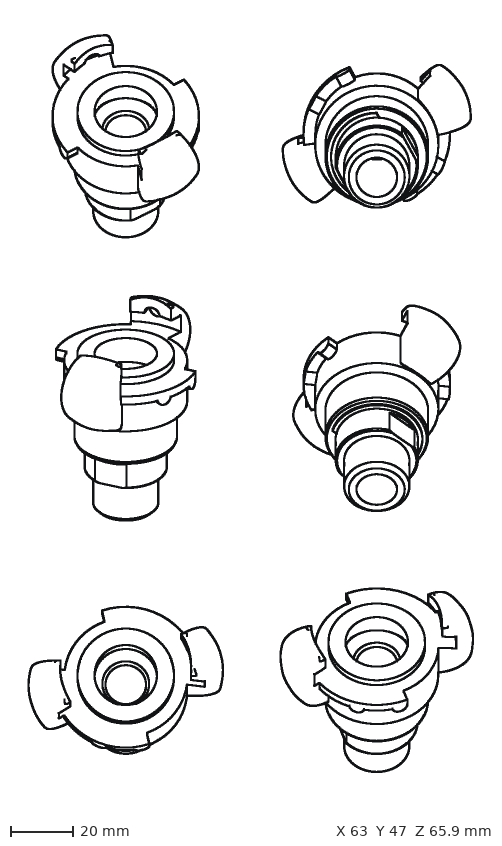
import cadquery as cq
import math

TAIL_CHAMFER = 1.5
SHOULDER_BOTTOM = 14.1
SHOULDER_CHAMFER = 0.5
FLAT_TOP = 23.0
GROOVE_BOTTOM = 24.3
SLEEVE_BOTTOM = 24.9
SLEEVE_CHAMFER_HEIGHT = 1.0
CONE_BOTTOM = 38.2
HEAD_BOTTOM = 39.0
HEAD_TOP = 54.0
RIM_TOP = 56.5
OVERALL_HEIGHT = 65.9

TAIL_RADIUS = 20.95 / 2
SHOULDER_RADIUS = 26.4 / 2
GROOVE_RADIUS = 23.0 / 2
SLEEVE_RADIUS = 33.0 / 2
SLEEVE_CHAMFER_WIDTH = 0.5
CONE_BOTTOM_RADIUS = 17.0
HEAD_RADIUS = 39.5 / 2
RIM_RADIUS = 31.0 / 2

ACROSS_FLATS = 24.0
RING_RADIUS = 14.65
RING_END_X = 6.8

BORE_RADIUS = 13.0 / 2
BORE_CHAMFER = 1.0
CAVITY_RADIUS = 12.5
CAVITY_FLOOR = RIM_TOP - 10.2
MOUTH_RADIUS = 20.0 / 2
MOUTH_DEPTH = 3.1

LUG_RADIUS = 47.0 / 2
LUG_THICKNESS = 3.0
DETENT_RADIUS = 2.5
DETENT_DEPTH = 2.0
DETENT_SPACING = 34.5

CLAW_REACH = 62.97 / 2
CLAW_HALF_ANGLE = 20.0
CLAW_RADIUS = 13.4
CLAW_CROWN_RADIUS = 20.0
CLAW_EDGE_FILLET = 1.0
CLAW_ROOT_X = 16.0
LIP_CROWN_RADIUS = 17.4
LIP_RADIUS = 21.0
LIP_BOTTOM = 60.0
SLOT_RADIUS = 25.5
NOTCH_RADIUS = 2.75
NOTCH_DEPTH = 2.4
CLAW_AXIS_X = CLAW_REACH - CLAW_RADIUS
CLAW_AXIS_Z = OVERALL_HEIGHT - math.sqrt(CLAW_RADIUS**2 - (LIP_RADIUS - CLAW_AXIS_X) ** 2)


def disc(radius, bottom, top):
    """Cylinder on the Z axis between two levels."""
    return cq.Workplane("XY").workplane(offset=bottom).circle(radius).extrude(top - bottom)


def opposite(shape):
    """The same shape turned half a revolution about the part axis."""
    return shape.rotate((0, 0, 0), (0, 0, 1), 180)


def make_body():
    """Turned outside of the part, from the pipe tail up to the rim."""
    profile = [
        (0, 0),
        (TAIL_RADIUS - TAIL_CHAMFER, 0),
        (TAIL_RADIUS, TAIL_CHAMFER),
        (TAIL_RADIUS, SHOULDER_BOTTOM),
        (SHOULDER_RADIUS - SHOULDER_CHAMFER, SHOULDER_BOTTOM),
        (SHOULDER_RADIUS, SHOULDER_BOTTOM + SHOULDER_CHAMFER),
        (SHOULDER_RADIUS, GROOVE_BOTTOM),
        (GROOVE_RADIUS, GROOVE_BOTTOM),
        (GROOVE_RADIUS, SLEEVE_BOTTOM),
        (SLEEVE_RADIUS - SLEEVE_CHAMFER_WIDTH, SLEEVE_BOTTOM),
        (SLEEVE_RADIUS, SLEEVE_BOTTOM + SLEEVE_CHAMFER_HEIGHT),
        (SLEEVE_RADIUS, CONE_BOTTOM),
        (CONE_BOTTOM_RADIUS, CONE_BOTTOM),
        (HEAD_RADIUS, HEAD_BOTTOM),
        (HEAD_RADIUS, HEAD_TOP),
        (RIM_RADIUS, HEAD_TOP),
        (RIM_RADIUS, RIM_TOP),
        (0, RIM_TOP),
    ]
    return cq.Workplane("XZ").polyline(profile).close().revolve(360, (0, 0, 0), (0, 1, 0))


def make_flat_cutter():
    """Material outside one wrench flat, on the +X side."""
    height = FLAT_TOP - SHOULDER_BOTTOM
    width = 2 * SHOULDER_RADIUS
    cutter = cq.Workplane("XY").box(SHOULDER_RADIUS, width, height, centered=(False, True, False))
    return cutter.translate((ACROSS_FLATS / 2, 0, SHOULDER_BOTTOM))


def make_retaining_ring():
    """Open ring seated in the groove, with its gap toward +X."""
    ring = disc(RING_RADIUS, GROOVE_BOTTOM, SLEEVE_BOTTOM)
    gap = cq.Workplane("XY").box(RING_RADIUS, 2 * RING_RADIUS, OVERALL_HEIGHT, centered=(False, True, False))
    return ring.cut(gap.translate((RING_END_X, 0, 0)))


def make_bore():
    """Through bore with a chamfered entry, opening into a cavity that narrows to its mouth."""
    return (
        cq.Workplane("XZ")
        .moveTo(0, RIM_TOP)
        .lineTo(MOUTH_RADIUS, RIM_TOP)
        .lineTo(MOUTH_RADIUS, RIM_TOP - MOUTH_DEPTH)
        .tangentArcPoint((CAVITY_RADIUS, CAVITY_FLOOR), relative=False)
        .lineTo(BORE_RADIUS + BORE_CHAMFER, CAVITY_FLOOR)
        .lineTo(BORE_RADIUS, CAVITY_FLOOR - BORE_CHAMFER)
        .lineTo(BORE_RADIUS, 0)
        .lineTo(0, 0)
        .close()
        .revolve(360, (0, 0, 0), (0, 1, 0))
    )


def make_radial_rod(radius, axis_height, inner, outer, angle):
    """Round rod lying along a radius at the given angle from +X."""
    rod = cq.Workplane("YZ").workplane(offset=inner).center(0, axis_height).circle(radius)
    return rod.extrude(outer - inner).rotate((0, 0, 0), (0, 0, 1), angle)


def make_lug():
    """Flange sector from the +X claw round to just past +Y, with two detents below it."""
    bottom = HEAD_TOP - LUG_THICKNESS
    detent_axis = bottom - DETENT_DEPTH + DETENT_RADIUS
    sector = cq.Workplane("XY").box(2 * LUG_RADIUS, LUG_RADIUS, OVERALL_HEIGHT, centered=False)
    lug = disc(LUG_RADIUS, bottom, HEAD_TOP).intersect(sector.translate((-DETENT_RADIUS, 0, 0)))
    below_axis = disc(LUG_RADIUS, HEAD_BOTTOM, detent_axis)
    for angle in (90, 90 - DETENT_SPACING):
        rod = make_radial_rod(DETENT_RADIUS, detent_axis, RIM_RADIUS, LUG_RADIUS + DETENT_RADIUS, angle)
        lug = lug.union(rod.intersect(below_axis))
    return lug


def make_claw_roller(half_width):
    """Crowned roller lying along Y, whose surface forms the outside of the +X claw."""
    crown_drop = CLAW_CROWN_RADIUS - math.sqrt(CLAW_CROWN_RADIUS**2 - half_width**2)
    end_radius = CLAW_RADIUS - crown_drop
    roller = (
        cq.Workplane("XY")
        .moveTo(0, -half_width)
        .lineTo(-end_radius, -half_width)
        .threePointArc((-CLAW_RADIUS, 0), (-end_radius, half_width))
        .lineTo(0, half_width)
        .close()
        .revolve(360, (0, 0, 0), (0, 1, 0))
    )
    return roller.translate((CLAW_AXIS_X, 0, CLAW_AXIS_Z))


def make_claw_envelope():
    """Space under the crowned top of the lip, which is straight along X."""
    crown_axis = OVERALL_HEIGHT - LIP_CROWN_RADIUS
    crown = cq.Workplane("YZ").workplane(offset=CLAW_ROOT_X).center(0, crown_axis).circle(LIP_CROWN_RADIUS)
    return crown.extrude(CLAW_REACH).union(disc(CLAW_REACH, 0, crown_axis))


def make_claw():
    """Claw on the +X side: a wedge of the roller with rounded edges, hollowed under its lip."""
    slope = math.tan(math.radians(CLAW_HALF_ANGLE))
    root_half_width = CLAW_ROOT_X * slope
    tip_half_width = CLAW_REACH * slope
    wedge_outline = [
        (CLAW_ROOT_X, -root_half_width),
        (CLAW_REACH, -tip_half_width),
        (CLAW_REACH, tip_half_width),
        (CLAW_ROOT_X, root_half_width),
    ]
    wedge = cq.Workplane("XY").polyline(wedge_outline).close().extrude(2 * OVERALL_HEIGHT)
    outer_side = cq.selectors.BoxSelector(
        (CLAW_AXIS_X, -tip_half_width, 0),
        (CLAW_REACH, tip_half_width, OVERALL_HEIGHT),
    )
    claw = make_claw_roller(tip_half_width).intersect(wedge)
    claw = claw.edges(outer_side).fillet(CLAW_EDGE_FILLET)
    claw = claw.intersect(make_claw_envelope())
    claw = claw.cut(disc(LIP_RADIUS, HEAD_TOP, 2 * OVERALL_HEIGHT))
    claw = claw.cut(disc(SLOT_RADIUS, HEAD_TOP, LIP_BOTTOM))
    notch_axis = LIP_BOTTOM + NOTCH_DEPTH - NOTCH_RADIUS
    return claw.cut(make_radial_rod(NOTCH_RADIUS, notch_axis, CLAW_ROOT_X, SLOT_RADIUS, 0))


body = make_body()
flat = make_flat_cutter()
body = body.cut(flat).cut(opposite(flat)).union(make_retaining_ring())
for feature in (make_lug(), make_claw()):
    body = body.union(feature).union(opposite(feature))

result = body.cut(make_bore())